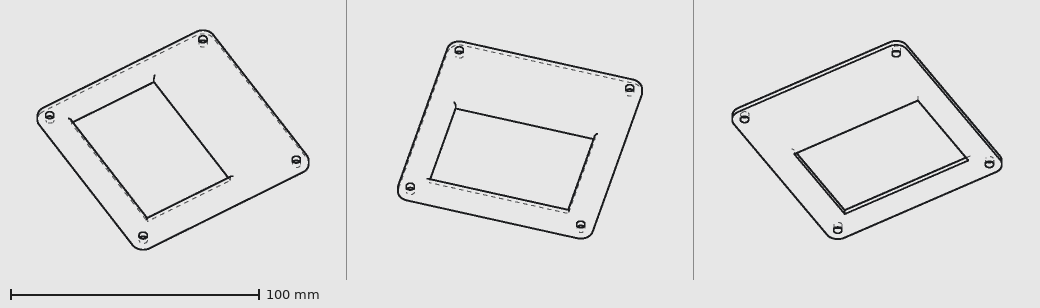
import cadquery as cq

plate_width = 81.5
plate_length = 82.7
plate_thickness = 3.0
corner_radius = 5.05
edge_round = 1.0

hole_diameter = 3.4
hole_spacing_x = plate_width - 2 * corner_radius
hole_spacing_y = plate_length - 2 * corner_radius

window_width = 58.2
window_length = 39.3
window_center_x = -0.5
window_center_y = -10.35


def make_plate():
    """Flat plate with rounded corners and a rounded top edge."""
    plate = cq.Workplane("XY").box(
        plate_width, plate_length, plate_thickness, centered=(True, True, False)
    )
    return plate.edges("|Z").fillet(corner_radius).faces(">Z").edges().fillet(edge_round)


def make_screw_holes():
    """Four through-hole cylinders, one per corner."""
    return (
        cq.Workplane("XY")
        .rect(hole_spacing_x, hole_spacing_y, forConstruction=True)
        .vertices()
        .circle(hole_diameter / 2)
        .extrude(plate_thickness)
    )


def cut_window(plate):
    """Cut the sharp-cornered window through the plate and round its top rim."""
    cutter = (
        cq.Workplane("XY")
        .center(window_center_x, window_center_y)
        .rect(window_width, window_length)
        .extrude(plate_thickness)
    )
    half_x = window_width / 2 + edge_round
    half_y = window_length / 2 + edge_round
    rim = cq.selectors.BoxSelector(
        (window_center_x - half_x, window_center_y - half_y, 0),
        (window_center_x + half_x, window_center_y + half_y, 2 * plate_thickness),
    )
    return plate.cut(cutter).faces(">Z").edges(rim).fillet(edge_round)


result = cut_window(make_plate()).cut(make_screw_holes())